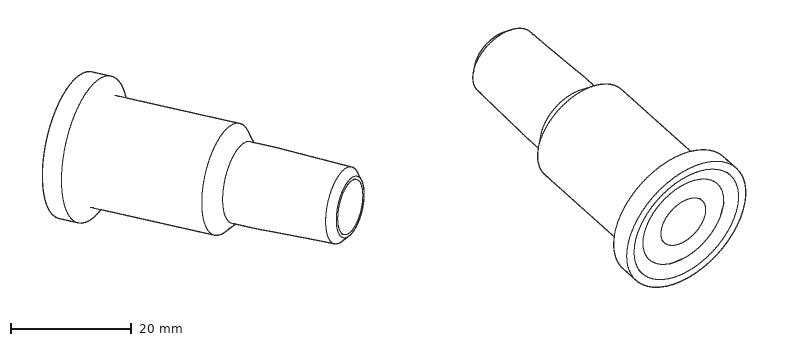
import cadquery as cq
import math

length = 50.8
bore_radius = 9.4 / 2

flange_radius = 25.0 / 2
flange_thickness = 3.55
flange_back_angle = math.radians(20)
blend_radius = 0.8

body_radius = 19.05 / 2
neck_radius = 13.9 / 2
body_end = 28.05
neck_start = 30.65
taper_start = 35.65
tip_chamfer = 1.3
taper_end_radius = 13.1 / 2

inner_face_depth = 0.8
groove_outer_radius = 21.9 / 2
groove_inner_radius = 16.9 / 2
groove_arc_radius = 0.8
groove_wall_depth = 1.3
groove_slope_angle = math.radians(45)


def revolve_about_x(profile):
    return profile.close().revolve(360, (0, 0, 0), (1, 0, 0))


def make_outer_body():
    """Solid of revolution: flange, body, shoulder, neck and tapered tip."""
    blend_centre_radius = body_radius + blend_radius
    blend_start_radius = blend_centre_radius - blend_radius * math.sin(flange_back_angle)
    blend_start = flange_thickness + (flange_radius - blend_start_radius) * math.tan(flange_back_angle)
    blend_end = blend_start + blend_radius * math.cos(flange_back_angle)
    mid_angle = (math.pi / 2 + flange_back_angle) / 2
    blend_middle = (
        blend_end - blend_radius * math.cos(mid_angle),
        blend_centre_radius - blend_radius * math.sin(mid_angle),
    )
    profile = (
        cq.Workplane("XY")
        .moveTo(0, 0)
        .lineTo(0, flange_radius)
        .lineTo(flange_thickness, flange_radius)
        .lineTo(blend_start, blend_start_radius)
        .threePointArc(blend_middle, (blend_end, body_radius))
        .lineTo(body_end, body_radius)
        .lineTo(neck_start, neck_radius)
        .lineTo(taper_start, neck_radius)
        .lineTo(length - tip_chamfer, taper_end_radius)
        .lineTo(length, taper_end_radius - tip_chamfer)
        .lineTo(length, 0)
    )
    return revolve_about_x(profile)


def make_face_recess():
    """Recess in the flange face, deepened at its rim into a groove with a rounded floor."""
    arc_centre_radius = groove_outer_radius - groove_arc_radius
    arc_end = (
        groove_wall_depth + groove_arc_radius * math.cos(groove_slope_angle),
        arc_centre_radius - groove_arc_radius * math.sin(groove_slope_angle),
    )
    mid_angle = (math.pi / 2 - groove_slope_angle) / 2
    arc_middle = (
        groove_wall_depth + groove_arc_radius * math.cos(mid_angle),
        arc_centre_radius + groove_arc_radius * math.sin(mid_angle),
    )
    profile = (
        cq.Workplane("XY")
        .moveTo(0, 0)
        .lineTo(0, groove_outer_radius)
        .lineTo(groove_wall_depth, groove_outer_radius)
        .threePointArc(arc_middle, arc_end)
        .lineTo(inner_face_depth, groove_inner_radius)
        .lineTo(inner_face_depth, 0)
    )
    return revolve_about_x(profile)


bore = cq.Workplane("YZ").circle(bore_radius).extrude(length)

result = make_outer_body().cut(make_face_recess()).cut(bore)